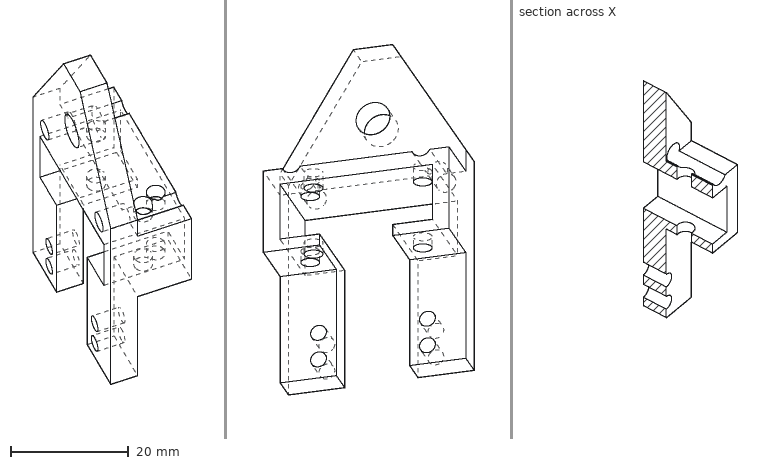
import cadquery as cq

width = 32.99
height = 61.1
plate_thickness = 5.0
shoulder_height = 39.5
tip_width = 7.0

block_depth = 10.0
block_bottom = 20.05
block_top = 35.4

leg_gap = 13.0
window_width = 27.1
window_bottom = 22.15
window_top = 32.5
left_leg_shortfall = 0.1

pivot_diameter = 6.0
pivot_height = 47.6
shoulder_hole_diameter = 3.5
shoulder_hole_spacing = 23.0
shoulder_hole_height = 36.15
leg_hole_diameter = 2.8
leg_hole_spacing = 19.35
leg_hole_heights = (3.5, 8.5)

block_hole_diameter = 3.2
block_hole_centers = ((-10.0, 3.85), (10.0, 3.85), (8.5, 6.85))

total_depth = plate_thickness + block_depth


def box_between(x_range, y_range, z_range):
    """Axis-aligned box given by its limits along X, Y and Z."""
    (x0, x1), (y0, y1), (z0, z1) = x_range, y_range, z_range
    return cq.Workplane("XY").box(x1 - x0, y1 - y0, z1 - z0, centered=False).translate((x0, y0, z0))


def centered_range(size):
    return (-size / 2, size / 2)


def plate():
    """Upright plate with a tapered, flat-topped head."""
    outline = [
        (-width / 2, 0),
        (width / 2, 0),
        (width / 2, shoulder_height),
        (tip_width / 2, height),
        (-tip_width / 2, height),
        (-width / 2, shoulder_height),
    ]
    return cq.Workplane("XZ").polyline(outline).close().extrude(plate_thickness)


def block():
    return box_between(centered_range(width), (0, block_depth), (block_bottom, block_top))


def t_opening():
    """Gap between the legs, widened into a window under the head."""
    depth_range = (-plate_thickness, block_depth)
    gap = box_between(centered_range(leg_gap), depth_range, (0, window_top))
    window = box_between(centered_range(window_width), depth_range, (window_bottom, window_top))
    return gap.union(window)


def left_leg_end():
    """Sliver that makes the left leg slightly shorter than the right one."""
    return box_between((-width / 2, 0), (-plate_thickness, 0), (0, left_leg_shortfall))


def holes_along_y(centers, diameter):
    """Holes at (x, z) centres through the plate and the block."""
    start = cq.Workplane("XZ", origin=(0, block_depth, 0))
    return start.pushPoints(centers).circle(diameter / 2).extrude(total_depth)


def block_holes():
    start = cq.Workplane("XY", origin=(0, 0, block_bottom))
    holes = start.pushPoints(block_hole_centers).circle(block_hole_diameter / 2)
    return holes.extrude(block_top - block_bottom)


def mirrored_pair(spacing, z):
    return [(-spacing / 2, z), (spacing / 2, z)]


leg_hole_centers = [center for z in leg_hole_heights for center in mirrored_pair(leg_hole_spacing, z)]
shoulder_hole_centers = mirrored_pair(shoulder_hole_spacing, shoulder_hole_height)

result = (
    plate()
    .union(block())
    .cut(t_opening())
    .cut(left_leg_end())
    .cut(holes_along_y([(0, pivot_height)], pivot_diameter))
    .cut(holes_along_y(shoulder_hole_centers, shoulder_hole_diameter))
    .cut(holes_along_y(leg_hole_centers, leg_hole_diameter))
    .cut(block_holes())
)